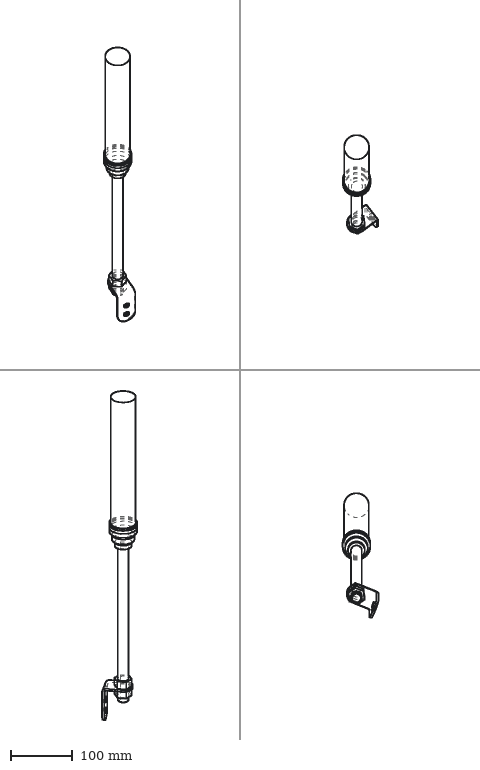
import cadquery as cq
import math

TOTAL_HEIGHT = 594.5
DOME_RISE = 4.0
FLANGE_TOP = 361.0
FLANGE_THICKNESS = 3.5
COLLAR_TOP = 352.0
COLLAR_BOTTOM = 345.0
SOCKET_TOP = 339.5
SOCKET_BOTTOM = 330.5
FERRULE_TOP = 326.0
FERRULE_BOTTOM = 318.5
ROD_BOTTOM = 36.0

HEAD_RADIUS = 20.0
FLANGE_RADIUS = 22.5
SOCKET_RADIUS = 18.5
FERRULE_RADIUS = 13.5
ROD_RADIUS = 9.0
ROD_CHAMFER = 2.0

NUT_CORNER_RADIUS = 14.0
NUT_HEIGHT = 13.0

PLATE_THICKNESS = 3.5
PLATE_TOP = 63.5
PLATE_WIDTH = 31.5
PLATE_RIGHT = 32.0
BEND_INNER_RADIUS = 4.0
HOLE_DIAMETER = 9.5
HOLE_PITCH = 20.0

END_RADIUS = PLATE_WIDTH / 2
PLATE_BOTTOM = PLATE_TOP - PLATE_THICKNESS
PLATE_INNER_FACE = PLATE_RIGHT - PLATE_THICKNESS


def make_turned_body():
    """Domed head, stepped base and rod as one revolved outline."""
    dome_edge = TOTAL_HEIGHT - DOME_RISE
    dome_radius = (HEAD_RADIUS**2 + DOME_RISE**2) / (2 * DOME_RISE)
    half_radius = HEAD_RADIUS / 2
    dome_mid = TOTAL_HEIGHT - dome_radius + math.sqrt(dome_radius**2 - half_radius**2)
    flange_bottom = FLANGE_TOP - FLANGE_THICKNESS
    outline = (
        cq.Workplane("XZ")
        .moveTo(0, TOTAL_HEIGHT)
        .threePointArc((half_radius, dome_mid), (HEAD_RADIUS, dome_edge))
        .lineTo(HEAD_RADIUS, FLANGE_TOP)
        .lineTo(FLANGE_RADIUS, FLANGE_TOP)
        .lineTo(FLANGE_RADIUS, flange_bottom)
        .lineTo(HEAD_RADIUS, flange_bottom)
        .lineTo(FLANGE_RADIUS, COLLAR_TOP)
        .lineTo(FLANGE_RADIUS, COLLAR_BOTTOM)
        .lineTo(SOCKET_RADIUS, SOCKET_TOP)
        .lineTo(SOCKET_RADIUS, SOCKET_BOTTOM)
        .lineTo(FERRULE_RADIUS, FERRULE_TOP)
        .lineTo(FERRULE_RADIUS, FERRULE_BOTTOM)
        .lineTo(ROD_RADIUS, FERRULE_BOTTOM)
        .lineTo(ROD_RADIUS, ROD_BOTTOM + ROD_CHAMFER)
        .lineTo(ROD_RADIUS - ROD_CHAMFER, ROD_BOTTOM)
        .lineTo(0, ROD_BOTTOM)
        .close()
    )
    return outline.revolve(360, (0, 0, 0), (0, 1, 0))


def make_nut(bottom):
    """Hexagon nut standing on the given height."""
    return (
        cq.Workplane("XY")
        .workplane(offset=bottom)
        .polygon(6, 2 * NUT_CORNER_RADIUS)
        .extrude(NUT_HEIGHT)
    )


def make_clamped_leg():
    """Horizontal leg, its free end rounded about the rod axis."""
    round_end = (
        cq.Workplane("XY")
        .workplane(offset=PLATE_BOTTOM)
        .circle(END_RADIUS)
        .extrude(PLATE_THICKNESS)
    )
    straight = (
        cq.Workplane("XY")
        .workplane(offset=PLATE_BOTTOM)
        .center(PLATE_RIGHT / 2, 0)
        .rect(PLATE_RIGHT, PLATE_WIDTH)
        .extrude(PLATE_THICKNESS)
    )
    return straight.union(round_end)


def make_hanging_leg():
    """Vertical leg with a semicircular lower end."""
    return (
        cq.Workplane("YZ")
        .workplane(offset=PLATE_INNER_FACE)
        .moveTo(-END_RADIUS, PLATE_TOP)
        .lineTo(-END_RADIUS, END_RADIUS)
        .threePointArc((0, 0), (END_RADIUS, END_RADIUS))
        .lineTo(END_RADIUS, PLATE_TOP)
        .close()
        .extrude(PLATE_THICKNESS)
    )


def make_bracket():
    """Both legs joined by a rounded bend, with two mounting holes."""
    legs = make_clamped_leg().union(make_hanging_leg())
    outer_corner = cq.NearestToPointSelector((PLATE_RIGHT, 0, PLATE_TOP))
    inner_corner = cq.NearestToPointSelector((PLATE_INNER_FACE, 0, PLATE_BOTTOM))
    bent = legs.edges(outer_corner).fillet(BEND_INNER_RADIUS + PLATE_THICKNESS)
    bent = bent.edges(inner_corner).fillet(BEND_INNER_RADIUS)
    holes = (
        cq.Workplane("YZ")
        .workplane(offset=PLATE_INNER_FACE)
        .pushPoints([(0, END_RADIUS), (0, END_RADIUS + HOLE_PITCH)])
        .circle(HOLE_DIAMETER / 2)
        .extrude(PLATE_THICKNESS)
    )
    return bent.cut(holes)


upper_nut = make_nut(PLATE_TOP)
lower_nut = make_nut(PLATE_BOTTOM - NUT_HEIGHT)
result = make_bracket().union(upper_nut).union(lower_nut).union(make_turned_body())